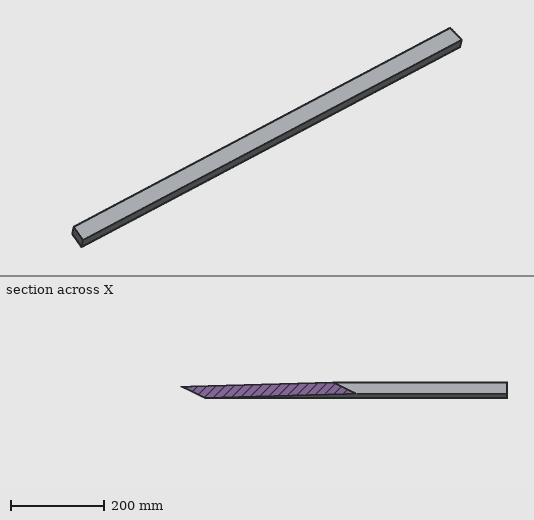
import cadquery as cq
import math

length = 1029.0
bar_width = 39.0
bar_height = 26.0

roll = 13.5
yaw = 6.7
far_cut = 10.0

end_allowance = 51.0
stock_length = length + 2 * end_allowance

stock = (
    cq.Workplane("XY")
    .box(bar_width, stock_length, bar_height)
    .rotate((0, 0, 0), (0, 1, 0), roll)
    .rotate((0, 0, 0), (0, 0, 1), yaw)
)

roll_angle = math.radians(roll)
yaw_angle = math.radians(yaw)
top_right_offset = (bar_width * math.cos(roll_angle) + bar_height * math.sin(roll_angle)) / 2
near_y = -length / 2
far_y = length / 2
far_corner_x = top_right_offset / math.cos(yaw_angle) - far_y * math.tan(yaw_angle)

trim_half_width = length / 2
far_slope = math.tan(math.radians(far_cut))
far_left_y = far_y - (trim_half_width + far_corner_x) * far_slope
far_right_y = far_y + (trim_half_width - far_corner_x) * far_slope
trim = (
    cq.Workplane("XY")
    .polyline([
        (-trim_half_width, near_y),
        (trim_half_width, near_y),
        (trim_half_width, far_right_y),
        (-trim_half_width, far_left_y),
    ])
    .close()
    .extrude(length, both=True)
)

result = stock.intersect(trim)